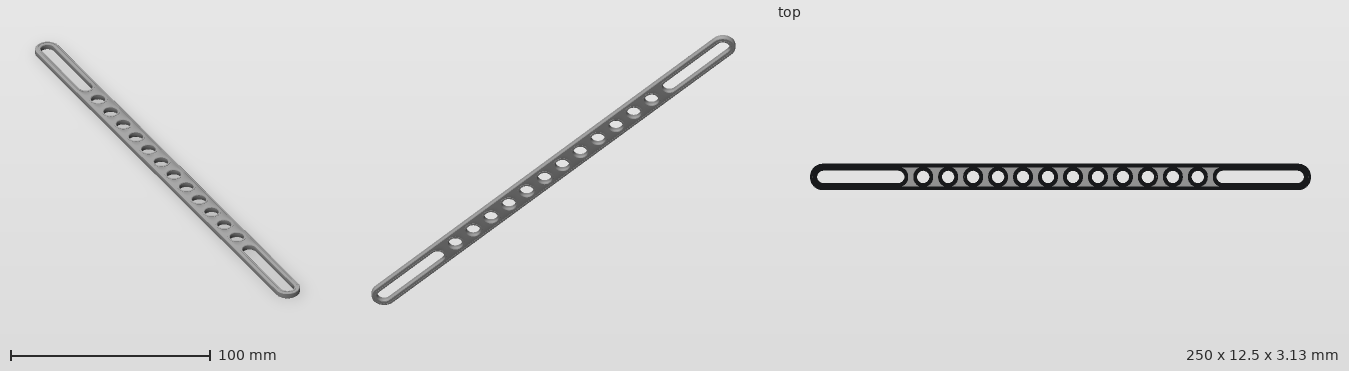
import cadquery as cq

pitch = 12.5
cell_count = 20
slot_cells = 4
thickness = pitch / 4

hole_diameter = 7.0
rim_width = 1.1
recess_depth = 0.2
edge_chamfer = 0.3

length = cell_count * pitch
rim_diameter = hole_diameter + 2 * rim_width
slot_travel = (slot_cells - 1) * pitch
slot_center_x = (length - pitch - slot_travel) / 2
slot_centers = [(-slot_center_x, 0), (slot_center_x, 0)]
hole_count = cell_count - 2 * slot_cells
first_hole_x = -(hole_count - 1) * pitch / 2
hole_centers = [(first_hole_x + i * pitch, 0) for i in range(hole_count)]


def openings(base_z, height, diameter):
    """Prisms of one diameter standing on every hole and slot position."""
    plane = cq.Workplane("XY").workplane(offset=base_z)
    holes = plane.pushPoints(hole_centers).circle(diameter / 2).extrude(height)
    slots = plane.pushPoints(slot_centers).slot2D(slot_travel + diameter, diameter).extrude(height)
    return holes.union(slots)


def make_strip():
    """Round-ended strip with all openings, every outer and inner rim edge chamfered."""
    blank = cq.Workplane("XY").slot2D(length, pitch).extrude(thickness / 2, both=True)
    strip = blank.cut(openings(-thickness / 2, thickness, hole_diameter))
    return strip.faces("|Z").edges().chamfer(edge_chamfer)


def make_recess(base_z):
    """Shallow pocket inside the outer rim that leaves the opening rims standing."""
    plane = cq.Workplane("XY").workplane(offset=base_z)
    floor = plane.slot2D(length - 2 * rim_width, pitch - 2 * rim_width).extrude(recess_depth)
    return floor.cut(openings(base_z, recess_depth, rim_diameter))


upper_recess = make_recess(thickness / 2 - recess_depth)
lower_recess = make_recess(-thickness / 2)
result = make_strip().cut(upper_recess).cut(lower_recess)